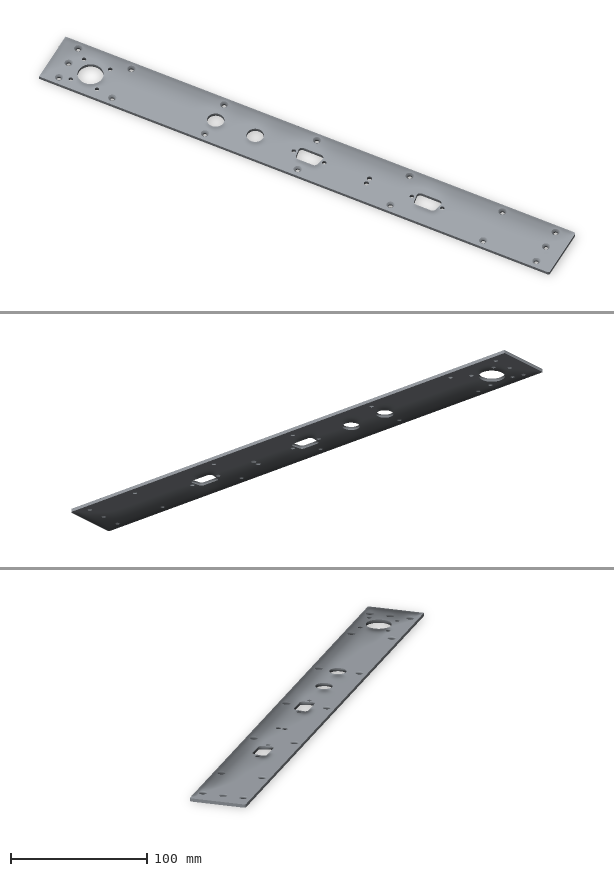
import cadquery as cq
import math

LENGTH = 419.1
WIDTH = 43.18
THICKNESS = 2.5
CORNER_RADIUS = 1.5

SCREW_DIAMETER = 3.17
SCREW_HEAD_DIAMETER = 6.09
SCREW_HEAD_ANGLE = 90
SCREW_PITCH = 76.2
SCREW_ROW_Y = 15.6
SCREW_END_MARGIN = 13.5
SCREW_END_X = LENGTH / 2 - SCREW_END_MARGIN

SOCKET_DIAMETER = 19.05
SOCKET_X = -176.8
SOCKET_Y = -2.54
FLANGE_SCREW_DIAMETER = 3.2
FLANGE_SCREW_PITCH = 21.5

OPENING_DIAMETER = 12.7
OPENING_XS = (-75.0, -42.5)
OPENING_Y = -0.6

DSUB_XS = (2.0, 99.0)
DSUB_Y = -1.3
DSUB_TOP_WIDTH = 20.8
DSUB_HEIGHT = 11.4
DSUB_SIDE_ANGLE = 10
DSUB_CORNER_RADIUS = 2.6
DSUB_SCREW_DIAMETER = 3.25
DSUB_SCREW_PITCH = 25.0

LAMP_DIAMETER = 3.81
LAMP_X = 51.1
LAMP_Y = -2.54
LAMP_PITCH = 5.08


def make_plate():
    """Flat plate, top face at Z = 0, with the two +X corners rounded."""
    plate = cq.Workplane("XY").rect(LENGTH, WIDTH).extrude(-THICKNESS)
    return plate.edges("|Z and >X").fillet(CORNER_RADIUS)


def cut_holes(plate, points, diameter):
    """Cut plain through holes at the given (x, y) points."""
    return plate.cut(
        cq.Workplane("XY").pushPoints(points).circle(diameter / 2).extrude(-THICKNESS)
    )


def cut_mounting_holes(plate):
    """Cut two rows of countersunk holes plus one on the centreline at each end."""
    row_xs = [step * SCREW_PITCH for step in range(-2, 3)] + [-SCREW_END_X, SCREW_END_X]
    points = [(x, y) for x in row_xs for y in (-SCREW_ROW_Y, SCREW_ROW_Y)]
    points += [(-SCREW_END_X, 0), (SCREW_END_X, 0)]
    return (
        plate.faces(">Z")
        .workplane(origin=(0, 0, 0))
        .pushPoints(points)
        .cskHole(SCREW_DIAMETER, SCREW_HEAD_DIAMETER, SCREW_HEAD_ANGLE)
    )


def cut_socket(plate):
    """Cut the round connector hole and the square of four flange screws around it."""
    offset = FLANGE_SCREW_PITCH / 2
    screws = [(SOCKET_X + i * offset, SOCKET_Y + j * offset) for i in (-1, 1) for j in (-1, 1)]
    plate = cut_holes(plate, [(SOCKET_X, SOCKET_Y)], SOCKET_DIAMETER)
    return cut_holes(plate, screws, FLANGE_SCREW_DIAMETER)


def cut_dsub(plate, x):
    """Cut one D-shaped opening, wider at +Y, and its two screw holes."""
    half_top = DSUB_TOP_WIDTH / 2
    half_bottom = half_top - DSUB_HEIGHT * math.tan(math.radians(DSUB_SIDE_ANGLE))
    half_height = DSUB_HEIGHT / 2
    opening = (
        cq.Workplane("XY")
        .polyline(
            [
                (-half_top, half_height),
                (half_top, half_height),
                (half_bottom, -half_height),
                (-half_bottom, -half_height),
            ]
        )
        .close()
        .extrude(-THICKNESS)
        .edges("|Z")
        .fillet(DSUB_CORNER_RADIUS)
        .translate((x, DSUB_Y, 0))
    )
    screws = [(x + side * DSUB_SCREW_PITCH / 2, DSUB_Y) for side in (-1, 1)]
    return cut_holes(plate.cut(opening), screws, DSUB_SCREW_DIAMETER)


def cut_lamps(plate):
    """Cut the two indicator lamp holes."""
    lamps = [(LAMP_X, LAMP_Y + side * LAMP_PITCH / 2) for side in (-1, 1)]
    return cut_holes(plate, lamps, LAMP_DIAMETER)


result = make_plate()
result = cut_mounting_holes(result)
result = cut_socket(result)
result = cut_holes(result, [(x, OPENING_Y) for x in OPENING_XS], OPENING_DIAMETER)
for dsub_x in DSUB_XS:
    result = cut_dsub(result, dsub_x)
result = cut_lamps(result)